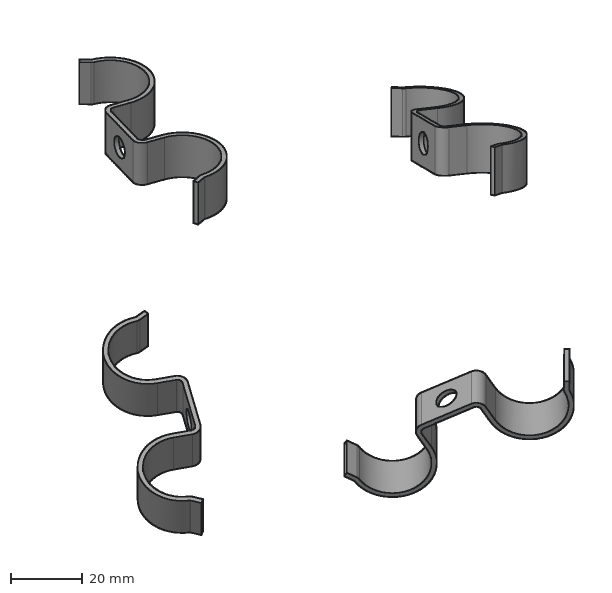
import cadquery as cq
import math

length = 72.3
depth = 21.0
width = 14.0

thickness = 1.5
corner_inner_radius = 1.5
corner_outer_radius = corner_inner_radius + thickness
loop_outer_radius = 12.5
loop_inner_radius = loop_outer_radius - thickness
loop_spacing = 43.95
loop_end_angle = 177.0
lip_lean = 30.0
lip_bend_inner_radius = 0.5
lip_bend_outer_radius = lip_bend_inner_radius + thickness

hole_diameter = 6.5


def polar(center, radius, angle):
    """Point at the given radius and angle (degrees) around a center."""
    turn = math.radians(angle)
    return (center[0] + radius * math.cos(turn), center[1] + radius * math.sin(turn))


loop_center = (-loop_spacing / 2, depth - loop_outer_radius)
leg_outer_x = loop_center[0] + loop_inner_radius
corner_center = (leg_outer_x + corner_outer_radius, corner_outer_radius)
lip_bend_center = polar(loop_center, loop_outer_radius + lip_bend_inner_radius, loop_end_angle)

lip_start = polar(lip_bend_center, lip_bend_inner_radius, -lip_lean)
lip_length = (lip_start[0] + length / 2) / math.sin(math.radians(lip_lean))
lip_direction = 270 - lip_lean


def face_arcs(corner_radius, loop_radius, lip_bend_radius):
    """Start, middle and end of each arc along one face, from the web to the lip."""
    bends = [
        (corner_center, corner_radius, 270, 180),
        (loop_center, loop_radius, 0, loop_end_angle),
        (lip_bend_center, lip_bend_radius, loop_end_angle - 180, -lip_lean),
    ]
    return [
        [polar(center, radius, angle) for angle in (start, (start + end) / 2, end)]
        for center, radius, start, end in bends
    ]


def half_strip():
    """Left half of the bent strip, centered on Z = 0."""
    front_corner, front_loop, front_lip = face_arcs(
        corner_outer_radius, loop_inner_radius, lip_bend_outer_radius
    )
    back_corner, back_loop, back_lip = face_arcs(
        corner_inner_radius, loop_outer_radius, lip_bend_inner_radius
    )
    return (
        cq.Workplane("XY")
        .moveTo(0, 0)
        .lineTo(*front_corner[0])
        .threePointArc(*front_corner[1:])
        .lineTo(*front_loop[0])
        .threePointArc(*front_loop[1:])
        .threePointArc(*front_lip[1:])
        .lineTo(*polar(front_lip[2], lip_length, lip_direction))
        .lineTo(*polar(back_lip[2], lip_length, lip_direction))
        .lineTo(*back_lip[2])
        .threePointArc(back_lip[1], back_lip[0])
        .threePointArc(back_loop[1], back_loop[0])
        .lineTo(*back_corner[2])
        .threePointArc(back_corner[1], back_corner[0])
        .lineTo(0, thickness)
        .close()
        .extrude(width / 2, both=True)
    )


def screw_hole():
    """Cutter for the hole through the middle of the web."""
    return cq.Workplane("XZ").circle(hole_diameter / 2).extrude(thickness, both=True)


left_half = half_strip()
result = left_half.union(left_half.mirror("YZ")).clean().cut(screw_hole())